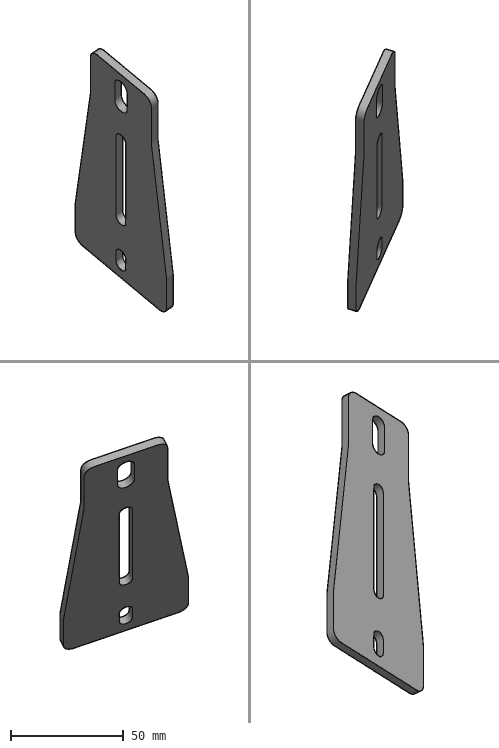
import cadquery as cq

height = 138.6
base_width = 60.0
top_width = 40.1
thickness = 4.0
corner_radius = 5.0

base_height = 25.1
top_height = 30.0

base_slot = (6.2, 13.0, 12.0)
middle_slot = (6.2, 60.9, 67.0)
top_slot = (8.0, 20.0, 123.7)


def tapered_plate():
    """Symmetric plate, wide at the base and tapering to a narrow top."""
    right_side = [
        (base_width / 2, 0),
        (base_width / 2, base_height),
        (top_width / 2, height - top_height),
        (top_width / 2, height),
    ]
    left_side = [(-x, z) for x, z in reversed(right_side)]
    return (
        cq.Workplane("XZ")
        .polyline(right_side + left_side)
        .close()
        .extrude(thickness)
    )


def slot_cutter(width, length, level):
    """Upright round-ended slot through the full thickness."""
    return (
        cq.Workplane("XZ")
        .center(0, level)
        .slot2D(length, width, 90)
        .extrude(thickness)
    )


result = tapered_plate()

for end in ("<Z", ">Z"):
    result = result.faces(end).edges("|Y").fillet(corner_radius)

for slot in (base_slot, middle_slot, top_slot):
    result = result.cut(slot_cutter(*slot))